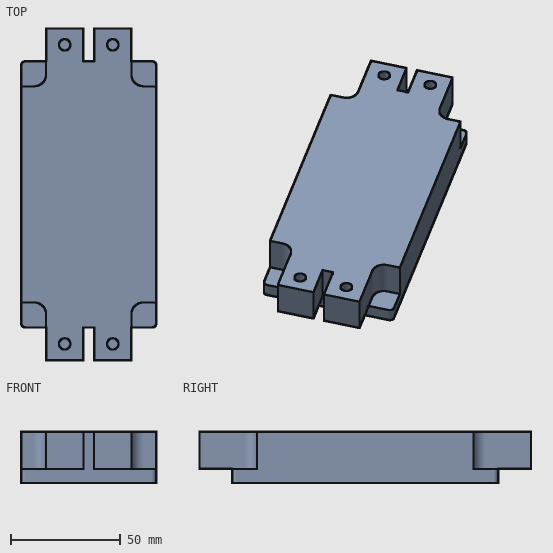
import cadquery as cq

plate_width = 62.0
plate_length = 122.0
plate_height = 6.5
plate_corner_radius = 2.0

total_length = 152.0
total_height = 23.5
housing_height = total_height - plate_height

tab_width = 17.0
slot_width = 5.0
tab_pair_width = 2 * tab_width + slot_width
tab_overhang = (total_length - plate_length) / 2

ledge_size = (plate_width - tab_pair_width) / 2
ledge_fillet_radius = 5.5
housing_length = plate_length - 2 * ledge_size

hole_diameter = 5.2
hole_depth = 10.0
hole_spacing_x = tab_width + slot_width
hole_spacing_y = total_length - tab_overhang


def make_plate():
    plate = cq.Workplane("XY").box(plate_width, plate_length, plate_height, centered=(True, True, False))
    return plate.edges("|Z").fillet(plate_corner_radius)


def make_housing():
    """Wide body crossed by the narrower tab strip, with rounded inside corners."""
    base = cq.Workplane("XY").workplane(offset=plate_height)
    body = base.rect(plate_width, housing_length).extrude(housing_height)
    tab_strip = base.rect(tab_pair_width, total_length).extrude(housing_height)
    housing = body.union(tab_strip)

    corner_finder = cq.selectors.BoxSelector(
        (-plate_width / 2 + ledge_size / 2, -plate_length / 2, 0),
        (plate_width / 2 - ledge_size / 2, plate_length / 2, total_height),
    )
    return housing.edges("|Z").edges(corner_finder).fillet(ledge_fillet_radius)


def make_slots():
    """Gaps between the tabs, as deep as the tabs overhang the plate."""
    slot_centre_y = (plate_length + tab_overhang) / 2
    return (
        cq.Workplane("XY")
        .workplane(offset=plate_height)
        .pushPoints([(0, -slot_centre_y), (0, slot_centre_y)])
        .rect(slot_width, tab_overhang)
        .extrude(housing_height)
    )


def make_terminal_holes():
    return (
        cq.Workplane("XY")
        .workplane(offset=total_height - hole_depth)
        .rect(hole_spacing_x, hole_spacing_y, forConstruction=True)
        .vertices()
        .circle(hole_diameter / 2)
        .extrude(hole_depth)
    )


housing = make_housing().cut(make_slots()).cut(make_terminal_holes())
result = make_plate().union(housing)